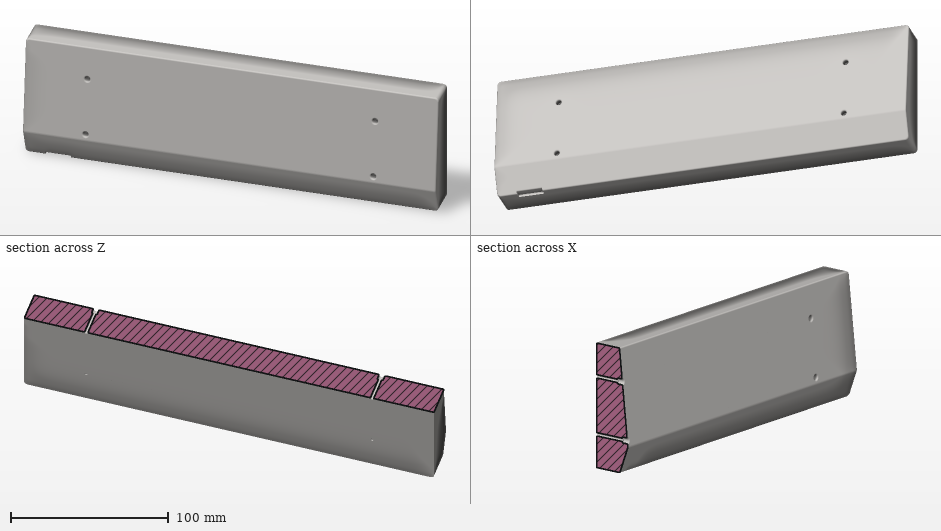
import cadquery as cq

length = 273.0
depth = 26.0
height = 82.5

top_depth = 19.0
bottom_depth = 19.5
ridge_height = 18.0
ridge_radius = 3.3
ridge_overhang = 0.05

corner_radius = 2.5
rim_radius = 0.95

hole_spacing_x = 190.4
hole_rows = (22.0, 60.4)
hole_diameter = 2.0
head_diameter = 3.5
head_depth = 4.0
head_mouth_radius = 0.8

notch_start = 13.0
notch_length = 17.0
notch_height = 1.6
notch_back = 11.0
notch_mouth_radius = 0.8

top_front = depth - top_depth
bottom_front = depth - bottom_depth


def make_body():
    profile = [
        (depth, 0),
        (depth, height),
        (top_front, height),
        (-ridge_overhang, ridge_height),
        (bottom_front, 0),
    ]
    body = cq.Workplane("YZ").polyline(profile).close().extrude(length)
    body = body.edges("|X and <Y").fillet(ridge_radius)
    body = body.edges("|Y").fillet(corner_radius)
    rim_point = (length / 2, top_front, height)
    return body.edges(cq.NearestToPointSelector(rim_point)).fillet(rim_radius)


def cut_notch(body):
    size = (notch_length, notch_back, notch_height)
    notch = cq.Workplane("XY").box(*size, centered=False).translate((notch_start, 0, 0))
    body = body.cut(notch)
    mouth_y = bottom_front * (1 - notch_height / ridge_height)
    mouth_point = (notch_start + notch_length / 2, mouth_y, notch_height)
    return body.edges(cq.NearestToPointSelector(mouth_point)).fillet(notch_mouth_radius)


def cut_hole(body, x, z):
    mouth_y = top_front * (z - ridge_height) / (height - ridge_height)
    drill = cq.Workplane("XZ").center(x, z)
    shank = drill.circle(hole_diameter / 2).extrude(-depth)
    head = drill.circle(head_diameter / 2).extrude(-(mouth_y + head_depth))
    body = body.cut(shank).cut(head)
    mouth_point = (x, mouth_y, z)
    return body.edges(cq.NearestToPointSelector(mouth_point)).fillet(head_mouth_radius)


result = cut_notch(make_body())
for z in hole_rows:
    for side in (-1, 1):
        result = cut_hole(result, (length + side * hole_spacing_x) / 2, z)